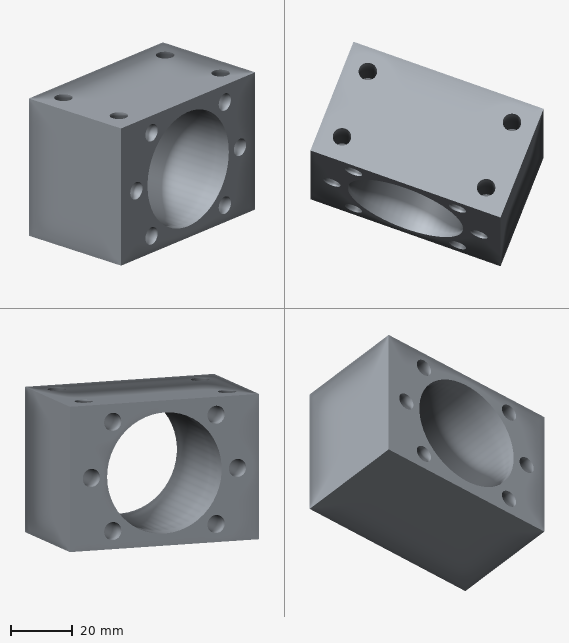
import cadquery as cq
import math

WIDTH = 40.0
LENGTH = 66.0
HEIGHT = 48.0

BORE_DIAMETER = 40.0
BOLT_CIRCLE_DIAMETER = 51.0
BOLT_ANGLES = (0, 45, 135, 180, 225, 315)

MOUNT_SPACING_X = 24.0
MOUNT_SPACING_Y = 50.0
MOUNT_DEPTH = 15.0

HOLE_DIAMETER = 6.0


def make_block():
    """Rectangular block centred on the origin."""
    return cq.Workplane("XY").box(WIDTH, LENGTH, HEIGHT)


def cut_bore(body):
    """Large through bore along X."""
    cutter = cq.Workplane("YZ", origin=(-WIDTH / 2, 0, 0)).circle(BORE_DIAMETER / 2).extrude(WIDTH)
    return body.cut(cutter)


def cut_bolt_holes(body):
    """Through holes around the bore: one on each side and one towards each corner."""
    radius = BOLT_CIRCLE_DIAMETER / 2
    centres = [
        (radius * math.cos(math.radians(angle)), radius * math.sin(math.radians(angle)))
        for angle in BOLT_ANGLES
    ]
    drills = (
        cq.Workplane("YZ", origin=(-WIDTH / 2, 0, 0))
        .pushPoints(centres)
        .circle(HOLE_DIAMETER / 2)
        .extrude(WIDTH)
    )
    return body.cut(drills)


def cut_mounting_holes(body):
    """Flat-bottomed holes on a rectangular pattern in the top face."""
    drills = (
        cq.Workplane("XY", origin=(0, 0, HEIGHT / 2))
        .rarray(MOUNT_SPACING_X, MOUNT_SPACING_Y, 2, 2)
        .circle(HOLE_DIAMETER / 2)
        .extrude(-MOUNT_DEPTH)
    )
    return body.cut(drills)


block = make_block()
block = cut_bore(block)
block = cut_bolt_holes(block)
result = cut_mounting_holes(block)